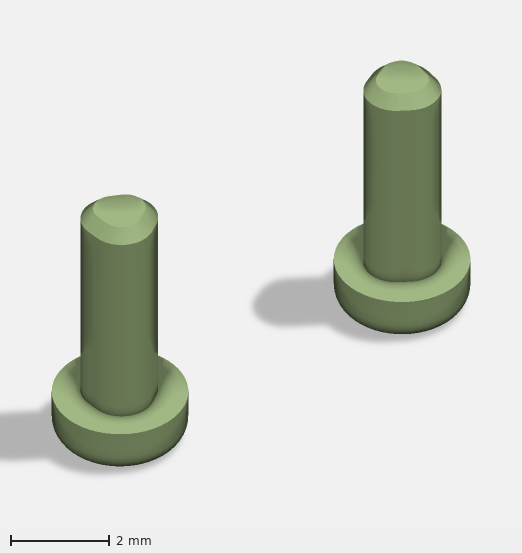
import cadquery as cq
import math

screw_height = 5.78
head_diameter = 2.79
head_height = 1.02

head_round_height = 0.39
head_round_inset = 0.24

lobe_radius = 0.67
flat_width = 0.26
tip_chamfer = 0.26

overall_length = 9.95
screw_spacing = overall_length - head_diameter
front_shank_turn = 4.5
rear_shank_turn = 177.7

head_radius = head_diameter / 2
lobe_count = 3
lobe_step = 360 / lobe_count


def polar_point(radius, angle):
    """Point at a radius from the screw axis and an angle in degrees."""
    return (radius * math.cos(math.radians(angle)), radius * math.sin(math.radians(angle)))


def make_head():
    """Plain round head; its lower edge curves in from the straight side."""
    base_radius = head_radius - head_round_inset
    return (
        cq.Workplane("XZ")
        .moveTo(0, 0)
        .lineTo(0, head_height)
        .lineTo(head_radius, head_height)
        .lineTo(head_radius, head_round_height)
        .tangentArcPoint((base_radius, 0), relative=False)
        .close()
        .revolve(360, (0, 0, 0), (0, 1, 0))
    )


def make_shank(turn):
    """Shank with three round lobes joined by narrow tangent flats, one flat facing -Y at zero turn."""
    lobe_center_radius = flat_width / math.sqrt(3)
    flat_distance = lobe_center_radius / 2 + lobe_radius
    flat_end_radius = math.hypot(flat_distance, flat_width / 2)
    flat_half_angle = math.degrees(math.atan2(flat_width / 2, flat_distance))

    first_flat_angle = turn - 90
    outline = cq.Workplane("XY").workplane(offset=head_height)
    outline = outline.moveTo(*polar_point(flat_end_radius, first_flat_angle - flat_half_angle))
    for index in range(lobe_count):
        flat_angle = first_flat_angle + index * lobe_step
        flat_end = polar_point(flat_end_radius, flat_angle + flat_half_angle)
        lobe_peak = polar_point(lobe_center_radius + lobe_radius, flat_angle + lobe_step / 2)
        lobe_end = polar_point(flat_end_radius, flat_angle + lobe_step - flat_half_angle)
        outline = outline.lineTo(*flat_end).threePointArc(lobe_peak, lobe_end)
    shank = outline.close().extrude(screw_height - head_height)
    return shank.faces(">Z").chamfer(tip_chamfer)


def make_screw(shank_turn):
    """One-piece screw: head and shank share the Z axis."""
    return make_head().union(make_shank(shank_turn))


placements = [
    (-screw_spacing / 2, front_shank_turn),
    (screw_spacing / 2, rear_shank_turn),
]
screws = []
for y_position, shank_turn in placements:
    screw = make_screw(shank_turn).translate((0, y_position, 0))
    screws.append(screw.val())

result = cq.Compound.makeCompound(screws)